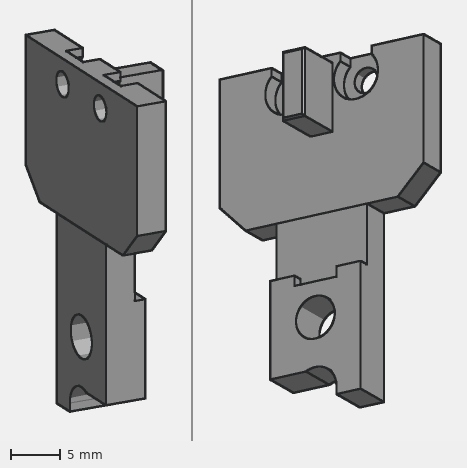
import cadquery as cq

total_height = 37.45
plate_thickness = 3.3

head_width = 24.35
head_height = 17.0
head_corner_cut = 3.07
head_bottom = total_height - head_height

screw_spacing = 8.2
screw_top_distance = 2.77
screw_hole_diameter = 2.7
counterbore_diameter = 5.25
counterbore_depth = 1.9
counterbore_slot_width = 3.75
screw_z = total_height - screw_top_distance

key_width = 2.62
key_height = 7.45
key_top_distance = 0.95
key_back = 8.8
key_chamfer = 0.22
key_bottom = total_height - key_top_distance - key_height

blade_width = 10.82
foot_height = 13.85
foot_thickness = 4.5
blade_hole_diameter = 4.6
blade_hole_z = 8.85

cutout_radius = 2.5
cutout_top = 3.45
cutout_shoulder_z = 3.2

recess_width = 2 * cutout_radius
recess_depth = 1.12


def box(width, y_start, y_end, z_start, z_end, x_center=0.0):
    """Block given by its width in X and its limits in Y and Z."""
    size_y = y_end - y_start
    size_z = z_end - z_start
    block = cq.Workplane("XY").box(width, size_y, size_z, centered=(True, False, False))
    return block.translate((x_center, y_start, z_start))


def cylinder(diameter, y_start, y_end, x, z):
    """Cylinder along Y."""
    plane = cq.Workplane("XZ", origin=(x, y_start, z))
    return plane.circle(diameter / 2).extrude(y_start - y_end)


def make_key():
    key = box(key_width, plate_thickness, key_back, key_bottom, key_bottom + key_height)
    return key.faces(">Y").chamfer(key_chamfer)


def make_screw_cut(x):
    """Through hole, counterbore from the back and slot up to the top edge."""
    floor_y = plate_thickness - counterbore_depth
    hole = cylinder(screw_hole_diameter, 0, plate_thickness, x, screw_z)
    counterbore = cylinder(counterbore_diameter, floor_y, plate_thickness, x, screw_z)
    slot = box(counterbore_slot_width, floor_y, plate_thickness, screw_z, total_height, x)
    return hole.union(counterbore).union(slot)


def make_head():
    head = box(head_width, 0, plate_thickness, head_bottom, total_height)
    head = head.faces("<Z").edges("|Y").chamfer(head_corner_cut)
    head = head.union(make_key())
    for side in (-1, 1):
        head = head.cut(make_screw_cut(side * screw_spacing / 2))
    return head


def make_foot_cutout():
    """Round notch, open downward, joined to a lower step on the right."""
    center_z = cutout_top - cutout_radius
    right_width = blade_width / 2
    notch = cylinder(2 * cutout_radius, 0, foot_thickness, 0, center_z)
    notch = notch.union(box(2 * cutout_radius, 0, foot_thickness, 0, center_z))
    step = box(right_width, 0, foot_thickness, 0, cutout_shoulder_z, right_width / 2)
    return notch.union(step)


def make_blade():
    blade = box(blade_width, 0, plate_thickness, 0, head_bottom)
    foot = box(blade_width, 0, foot_thickness, 0, foot_height)
    recess = box(recess_width, plate_thickness, foot_thickness, foot_height - recess_depth, foot_height)
    blade = blade.union(foot).cut(recess)
    blade = blade.cut(cylinder(blade_hole_diameter, 0, foot_thickness, 0, blade_hole_z))
    return blade.cut(make_foot_cutout())


head = make_head()
blade = make_blade()
result = cq.Compound.makeCompound([head.val(), blade.val()])